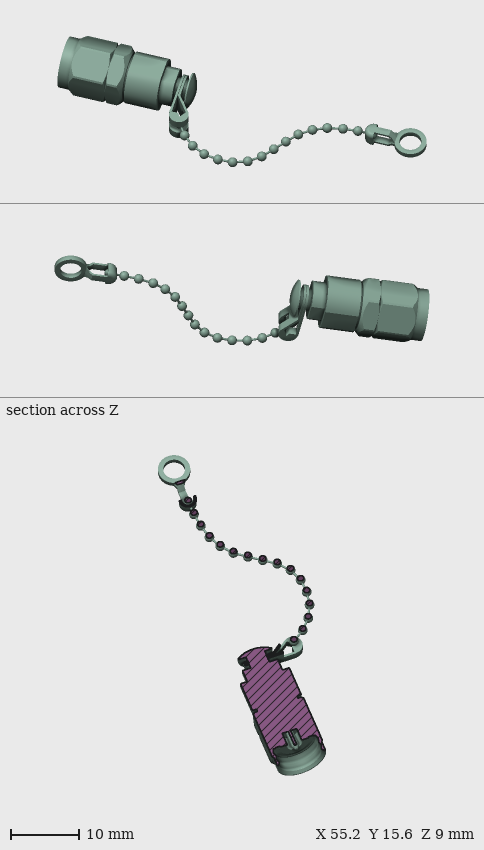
import cadquery as cq
import math


collar_diameter = 7.7
nut_start = 1.65
nut_end = 9.8
nut_across_flats = 7.95
nut_across_corners = 9.0
nut_front_radius = 3.9
nut_front_chamfer = 0.8
nut_rear_radius = 3.7
nut_rear_chamfer = 0.8
nut_groove_x = 7.25
nut_groove_diameter = 7.9
nut_groove_half_width = 0.3

gap_radius = 3.25
barrel_start = 10.15
barrel_end = 15.1
barrel_diameter = 7.8
barrel_half_flats = 3.55
shoulder_end = 17.1
shoulder_diameter = 5.7
shoulder_half_flats = 2.55
rivet_neck_radius = 1.6
rivet_head_start = 19.0
rivet_rim_thickness = 0.2
rivet_head_radius = 2.7
rivet_head_end = 20.05

socket_depth = 3.05
socket_floor_radius = 3.0
mouth_radius = 3.65
mouth_taper_length = 0.45
thread_minor_radius = 3.3
thread_depth = 0.2
thread_first_x = 1.1
thread_pitch = 1.2
thread_grooves = 2
sleeve_front = 2.85
sleeve_radius = 2.3
sleeve_bore_radius = 1.2
sleeve_bore_end = 4.95
pin_front = 2.0
pin_radius = 0.55
pin_tip_radius = 0.2
pin_taper_length = 0.5

sheet = 0.35
strap_half_width = 1.95
strap_x = 17.65
leaf_gap = 0.05
strap_head_center_y = 0.3
fold_y = -2.55
curl_x = 19.15
curl_y = -5.95
curl_radius = 1.45
notch_top_offset = 0.2
notch_apex = (19.4, -6.35)
notch_apex_width = 0.4
slot_half_width = 0.6
slot_top_y = -4.0

bead_radius = 0.7
wire_radius = 0.15
bead_centers = [
    (19.4, -6.2), (20.65, -8.05), (22.3, -9.55), (24.35, -10.55),
    (26.55, -10.95), (28.75, -10.8), (30.85, -10.05), (32.55, -8.6),
    (33.9, -6.85), (35.2, -5.0), (36.6, -3.25), (38.35, -1.9),
    (40.35, -0.95), (42.6, -0.45), (44.8, -0.2), (47.1, -0.15),
]

ring_radius = 2.4
ring_hole_radius = 1.6
ring_half_height = 0.415
overall_length = 55.2
ring_x = overall_length - ring_radius
ring_y = -0.15
cup_half_width = 1.25
cup_end_x = 45.9
cup_open_x = 47.45
cup_half_height = 1.25
cup_fillet = 0.6
arm_half_width = 0.55
arm_bend_x = 49.7
arm_tip_x = 50.7
arm_flare_x = 50.1
arm_tip_half_width = 0.95


def revolve_x(points):
    """Revolve a closed (x, radius) outline about the X axis."""
    return cq.Workplane("XY").polyline(points).close().revolve(360, (0, 0, 0), (1, 0, 0))


def cylinder_x(start, end, radius):
    return cq.Workplane("YZ", origin=(start, 0, 0)).circle(radius).extrude(end - start)


def flatted_cylinder(start, end, radius, half_flats):
    """Cylinder along X with flats on its +Z and -Z sides."""
    length = end - start
    flats = cq.Workplane("YZ", origin=(start, 0, 0)).rect(2 * radius, 2 * half_flats).extrude(length)
    return cylinder_x(start, end, radius).intersect(flats)


def make_hex_nut():
    """Hexagon with corners toward +Z and -Z, chamfered and grooved by a turned envelope."""
    hexagon = (
        cq.Workplane("YZ", origin=(nut_start, 0, 0))
        .polygon(6, nut_across_flats / math.cos(math.pi / 6))
        .extrude(nut_end - nut_start)
        .rotate((0, 0, 0), (1, 0, 0), 30)
    )
    corner_radius = nut_across_corners / 2
    envelope = revolve_x([
        (nut_start, 0),
        (nut_start, nut_front_radius),
        (nut_start + nut_front_chamfer, corner_radius),
        (nut_groove_x - nut_groove_half_width, corner_radius),
        (nut_groove_x, nut_groove_diameter / 2),
        (nut_groove_x + nut_groove_half_width, corner_radius),
        (nut_end - nut_rear_chamfer, corner_radius),
        (nut_end, nut_rear_radius),
        (nut_end, 0),
    ])
    return hexagon.intersect(envelope)


def make_rivet_head():
    """Thin rim with a domed outer face."""
    rim_end = rivet_head_start + rivet_rim_thickness
    rise = rivet_head_end - rim_end
    dome_radius = (rivet_head_radius ** 2 + rise ** 2) / (2 * rise)
    dome_center = rivet_head_end - dome_radius
    half_angle = math.asin(rivet_head_radius / dome_radius) / 2
    mid = (dome_center + dome_radius * math.cos(half_angle), dome_radius * math.sin(half_angle))
    return (
        cq.Workplane("XY")
        .moveTo(rivet_head_start, 0)
        .lineTo(rivet_head_start, rivet_head_radius)
        .lineTo(rim_end, rivet_head_radius)
        .threePointArc(mid, (rivet_head_end, 0))
        .close()
        .revolve(360, (0, 0, 0), (1, 0, 0))
    )


def make_socket():
    """Threaded cavity at the mouth, narrowing to a flat floor."""
    cavity = revolve_x([
        (0, 0),
        (0, mouth_radius),
        (mouth_taper_length, thread_minor_radius),
        (socket_depth - thread_depth, thread_minor_radius),
        (socket_depth, socket_floor_radius),
        (socket_depth, 0),
    ])
    half_pitch = thread_pitch / 2
    for index in range(thread_grooves):
        x = thread_first_x + index * thread_pitch
        cavity = cavity.union(revolve_x([
            (x - half_pitch, 0),
            (x - half_pitch, thread_minor_radius),
            (x, thread_minor_radius + thread_depth),
            (x + half_pitch, thread_minor_radius),
            (x + half_pitch, 0),
        ]))
    return cavity


def make_pin():
    """Tapered center pin standing in the sleeve bore."""
    return revolve_x([
        (pin_front, 0),
        (pin_front, pin_tip_radius),
        (pin_front + pin_taper_length, pin_radius),
        (sleeve_bore_end, pin_radius),
        (sleeve_bore_end, 0),
    ])


def make_connector():
    body = cylinder_x(0, nut_start, collar_diameter / 2)
    body = body.union(make_hex_nut())
    body = body.union(cylinder_x(nut_end, barrel_start, gap_radius))
    body = body.union(flatted_cylinder(barrel_start, barrel_end, barrel_diameter / 2, barrel_half_flats))
    body = body.union(flatted_cylinder(barrel_end, shoulder_end, shoulder_diameter / 2, shoulder_half_flats))
    body = body.union(cylinder_x(shoulder_end, rivet_head_start, rivet_neck_radius))
    body = body.union(make_rivet_head())
    body = body.cut(make_socket())
    body = body.union(cylinder_x(sleeve_front, socket_depth, sleeve_radius))
    body = body.cut(cylinder_x(sleeve_front, sleeve_bore_end, sleeve_bore_radius))
    return body.union(make_pin())


def strap_plate(outline):
    """Extrude an XY outline over the full strap width."""
    plate = cq.Workplane("XY", origin=(0, 0, -strap_half_width)).polyline(outline).close()
    return plate.extrude(2 * strap_half_width)


def box_between(right_x, bottom_y, top_y, half_width):
    """Block from the strap's inner face to right_x, centered on Z = 0."""
    block = cq.Workplane("XY", origin=(strap_x, bottom_y, -half_width))
    return block.box(right_x - strap_x, top_y - bottom_y, 2 * half_width, centered=False)


def tangent_point(start, center, radius):
    """Point where the line from start touches the circle on its left-hand (+X, +Y) side."""
    dx = start[0] - center[0]
    dy = start[1] - center[1]
    angle = math.atan2(dy, dx) - math.acos(radius / math.hypot(dx, dy))
    return (center[0] + radius * math.cos(angle), center[1] + radius * math.sin(angle))


def make_strap():
    """Folded sheet: two leaves on the rivet neck, the outer one slanting down to a curl."""
    leaf_x = strap_x + sheet
    fold_x = leaf_x + leaf_gap
    outer_x = fold_x + sheet
    head_y = strap_head_center_y + strap_half_width
    inner_leaf = strap_plate([(strap_x, head_y), (leaf_x, head_y), (leaf_x, curl_y), (strap_x, curl_y)])
    outer_leaf = strap_plate([(fold_x, head_y), (outer_x, head_y), (outer_x, fold_y), (fold_x, fold_y)])

    touch = tangent_point((outer_x, fold_y), (curl_x, curl_y), curl_radius)
    slant = math.atan2(touch[1] - fold_y, touch[0] - outer_x)
    inward = (sheet * math.sin(slant), -sheet * math.cos(slant))
    touch_inner = (touch[0] + inward[0], touch[1] + inward[1])
    fold_inner_y = touch_inner[1] + (fold_x - touch_inner[0]) * math.tan(slant)
    slanted_leaf = strap_plate([
        (fold_x, fold_y), (outer_x, fold_y), touch, touch_inner, (fold_x, fold_inner_y),
    ])

    curl = cq.Workplane("XY", origin=(curl_x, curl_y, -strap_half_width))
    curl = curl.circle(curl_radius).extrude(2 * strap_half_width)
    notch_floor_y = curl_y + notch_top_offset
    notch = strap_plate([
        (leaf_x, fold_inner_y), touch_inner, notch_apex,
        (notch_apex[0] - notch_apex_width, notch_floor_y), (leaf_x, notch_floor_y),
    ])
    strap = inner_leaf.union(outer_leaf).union(slanted_leaf).union(curl.cut(notch))

    right_x = curl_x + curl_radius
    bottom_y = curl_y - curl_radius
    rounded_end = cylinder_x(strap_x, right_x, strap_half_width).translate((0, strap_head_center_y, 0))
    strip = box_between(right_x, bottom_y, strap_head_center_y, strap_half_width)
    strap = strap.intersect(rounded_end.union(strip))
    slot = box_between(right_x, bottom_y, slot_top_y, slot_half_width)
    rivet_hole = cylinder_x(shoulder_end, rivet_head_start, rivet_neck_radius)
    return strap.cut(slot).cut(rivet_hole)


def bead(center):
    return cq.Workplane("XY").sphere(bead_radius).translate((center[0], center[1], 0))


def make_chain():
    """Beads joined by straight wire links between neighboring centers."""
    chain = bead(bead_centers[0])
    for start, end in zip(bead_centers, bead_centers[1:]):
        step = cq.Vector(end[0] - start[0], end[1] - start[1], 0)
        link = cq.Solid.makeCylinder(wire_radius, step.Length, cq.Vector(start[0], start[1], 0), step)
        chain = chain.union(cq.Workplane(link)).union(bead(end))
    return chain


def half_round_cup(end_x, half_width, half_height, fillet):
    """Block with a round -X end and filleted rim, cut flat on its +X side."""
    return (
        cq.Workplane("XY", origin=(0, ring_y, -half_height))
        .moveTo(cup_open_x, -half_width)
        .threePointArc((end_x, 0), (cup_open_x, half_width))
        .close()
        .extrude(2 * half_height)
        .faces("<Z or >Z")
        .edges("not(>X)")
        .fillet(fillet)
    )


def make_arm():
    """Upper arm of the terminal, straight from the cup, then slanting and widening to the ring."""
    slant = math.atan2(cup_half_height - ring_half_height, arm_tip_x - arm_bend_x)
    inner_height = cup_half_height - sheet
    inner_bend_x = arm_bend_x - sheet * math.tan(slant / 2)
    inner_tip_x = inner_bend_x + inner_height / math.tan(slant)
    bent_sheet = (
        cq.Workplane("XZ", origin=(0, ring_y + arm_tip_half_width, 0))
        .polyline([
            (cup_open_x, cup_half_height), (arm_bend_x, cup_half_height),
            (arm_tip_x, ring_half_height), (arm_tip_x, 0), (inner_tip_x, 0),
            (inner_bend_x, inner_height), (cup_open_x, inner_height),
        ])
        .close()
        .extrude(2 * arm_tip_half_width)
    )
    outline = (
        cq.Workplane("XY", origin=(0, ring_y, 0))
        .polyline([
            (cup_open_x, -arm_half_width), (arm_flare_x, -arm_half_width),
            (arm_tip_x, -arm_tip_half_width), (arm_tip_x, arm_tip_half_width),
            (arm_flare_x, arm_half_width), (cup_open_x, arm_half_width),
        ])
        .close()
        .extrude(cup_half_height)
    )
    return bent_sheet.intersect(outline)


def make_ring_terminal():
    cup = half_round_cup(cup_end_x, cup_half_width, cup_half_height, cup_fillet)
    cavity = half_round_cup(
        cup_end_x + sheet, cup_half_width - sheet, cup_half_height - sheet, cup_fillet - sheet
    )
    terminal = cup.cut(cavity)
    arm = make_arm()
    terminal = terminal.union(arm).union(arm.mirror("XY"))
    ring = cq.Workplane("XY", origin=(ring_x, ring_y, -ring_half_height)).circle(ring_radius)
    terminal = terminal.union(ring.extrude(2 * ring_half_height))
    hole = cq.Workplane("XY", origin=(ring_x, ring_y, -ring_half_height)).circle(ring_hole_radius)
    return terminal.cut(hole.extrude(2 * ring_half_height))


connector = make_connector()
chain = make_chain()
strap = make_strap().cut(chain)
ring_terminal = make_ring_terminal().cut(chain)

result = cq.Compound.makeCompound([
    connector.val(), strap.val(), chain.val(), ring_terminal.val(),
])